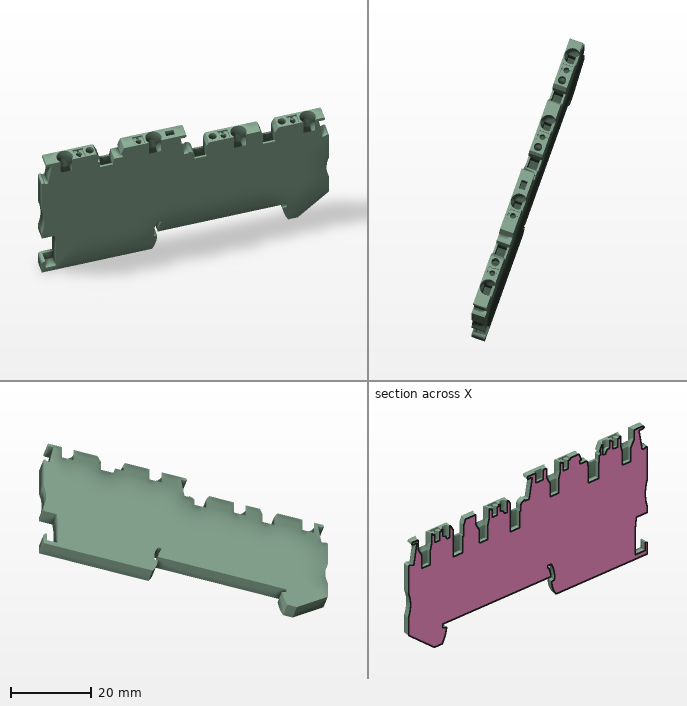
import cadquery as cq
import math

THICKNESS = 3.5
LENGTH = 74.4
HEIGHT = 40.0
Y_BACK = LENGTH / 2
Y_FRONT = -LENGTH / 2
X_MID = THICKNESS / 2

LOW_TOP = 35.3
BACK_EDGE = 36.0
MIDDLE_EDGE = 0.15
FRONT_EDGE = -36.0

SLOT_WIDTH = 3.15
LOW_SLOT_FLOOR = 30.4
HIGH_SLOT_FLOOR = 34.9
BACK_SLOT_Y = 20.05
MIDDLE_SLOT_Y = 2.35
FRONT_SLOT_Y = -22.1
FRONT_SLOT_WIDTH = 3.3
SLOT_WALL = 0.5
BRIDGE_POCKET_DEPTH = 5.0
POCKET_MARGIN = 0.25
CHAMFER_RUN = 0.85
SMALL_CHAMFER_RUN = 0.6
CHAMFER_DROP = 1.65
MIDDLE_CHAMFER_DROP = 1.2
LEDGE_TOP = 36.85
LEDGE_NOTCH_TOP = 37.8
LEDGE_LENGTH = 2.25
LEDGE_SLANT = 0.35
LEDGE_UNDERCUT = 0.5
FRONT_FLARE = 0.95
MIDDLE_FLARE = 0.8

HIGH_SHOULDER = 32.9
SHOULDER_TIP = 33.3
SHOULDER_CORNER = 33.1
BACK_SHOULDER = 28.4
BACK_SHOULDER_TIP = 28.65
SLOT_ROUND_BASE = 31.7

RAIL_SEAT = 6.0
RAIL_LIP = 4.6
RAIL_BACK_Y = 26.35
RAIL_FRONT_Y = -7.2
BACK_HOOK_TIP_Y = 25.2
BACK_HOOK_ROOT_Z = 4.9
BACK_HOOK_FOOT_Y = 26.6
FOOT_CORNER_Y = 29.1
FOOT_CORNER_Z = 7.2
FRONT_HOOK_TIP_Y = -7.3
FRONT_HOOK_FOOT_Y = -8.65
SPRING_SLOT_TOP = 9.8
SPRING_SLOT_BACK_Y = -6.3
SPRING_SLOT_FRONT_Y = -8.15
RECESS_BOTTOM = 4.0
RECESS_TOP = 12.75
RECESS_FLOOR_Y = -33.5
RECESS_SLANT_Z = 10.1
RECESS_SLANT = 0.25
LIP_RADIUS = 0.9
LIP_POCKET_WALL = 0.75
LIP_POCKET_DEPTH = 2.5
FINGER_DIP = 0.65
FRONT_DIP_Z = 18.8
FRONT_DIP_HALF = 4.4
BACK_DIP_Z = 16.4
BACK_DIP_HALF = 3.7

FUNNEL_RADIUS = 2.03
FUNNEL_X = 2.15
FUNNEL_DEPTH = 5.2
BORE_DEPTH = 3.0
THROAT_WIDTH = 2.0
THROAT_LENGTH = 2.45
THROAT_OFFSET = 0.3
THROAT_DEPTH = 4.0

SOCKET_PITCH = 3.8
SOCKET_SIZE = 2.65
SOCKET_X = 1.9
SOCKET_DEPTH = 0.5
SOCKET_HOLE_DIAMETER = 1.45
SOCKET_HOLE_DEPTH = 3.0
SOCKET_GROOVE_WIDTH = 0.55
SOCKET_GROOVE_DEPTH = 1.0

RELEASE_PITCH = 6.6
RELEASE_RADIUS = 1.03
RELEASE_COLLAR_RADIUS = 1.62
RELEASE_DEPTH = 3.5
STEP_RADIUS = 1.25

WINDOW_PITCH = 4.35
WINDOW_WIDTH = 1.55
WINDOW_LENGTH = 2.25
WINDOW_DEPTH = 3.0

CLAMPS = [
    (32.05, LOW_TOP, -1, True),
    (14.15, LOW_TOP, -1, True),
    (-7.9, HEIGHT, -1, False),
    (-30.9, HEIGHT, 1, True),
]
WINDOW_Y = CLAMPS[2][0] + WINDOW_PITCH


def latch_edge(y_edge, z_top, outward):
    """Hooked lip and slanted neck at a block end, from the top edge downwards."""
    offsets = [(0, 0), (0.2, -0.65), (-0.25, -1.0), (-1.4, -0.95), (-0.45, -7.1)]
    return [(y_edge + outward * dy, z_top + dz) for dy, dz in offsets]


def body():
    """Side outline extruded through the full thickness."""
    back_slot_end = BACK_SLOT_Y + SLOT_WIDTH
    middle_slot_end = MIDDLE_SLOT_Y + SLOT_WIDTH
    front_slot_end = FRONT_SLOT_Y + FRONT_SLOT_WIDTH
    ledge_start = front_slot_end + LEDGE_SLANT
    ledge_end = ledge_start + LEDGE_LENGTH
    lip_back = Y_FRONT + LIP_RADIUS
    lip_sag = LIP_RADIUS * (1 - math.sqrt(0.5))

    front_top = [
        (Y_FRONT, SHOULDER_CORNER),
        (FRONT_EDGE - 0.65, SHOULDER_TIP),
        (FRONT_EDGE - 0.3, HIGH_SHOULDER),
        *reversed(latch_edge(FRONT_EDGE, HEIGHT, -1)),
        (FRONT_SLOT_Y - FRONT_FLARE, HEIGHT),
        (FRONT_SLOT_Y, LEDGE_NOTCH_TOP),
        (FRONT_SLOT_Y - LEDGE_UNDERCUT, LEDGE_NOTCH_TOP),
        (FRONT_SLOT_Y - LEDGE_UNDERCUT, LEDGE_TOP),
        (FRONT_SLOT_Y, LEDGE_TOP),
        (FRONT_SLOT_Y, HIGH_SLOT_FLOOR),
        (front_slot_end, HIGH_SLOT_FLOOR),
        (ledge_start, LEDGE_TOP),
        (ledge_end, LEDGE_TOP),
        (ledge_end, LEDGE_NOTCH_TOP),
        (ledge_end - LEDGE_UNDERCUT, LEDGE_NOTCH_TOP),
        (ledge_end - LEDGE_UNDERCUT + MIDDLE_FLARE, HEIGHT),
        *latch_edge(MIDDLE_EDGE, HEIGHT, 1),
        (MIDDLE_EDGE + 0.6, HIGH_SHOULDER),
        (MIDDLE_EDGE + 0.8, SHOULDER_TIP),
        (MIDDLE_EDGE + 1.25, SHOULDER_CORNER),
    ]
    back_top = [
        (MIDDLE_SLOT_Y, LOW_SLOT_FLOOR),
        (middle_slot_end, LOW_SLOT_FLOOR),
        (middle_slot_end, LOW_TOP - MIDDLE_CHAMFER_DROP),
        (middle_slot_end + SMALL_CHAMFER_RUN, LOW_TOP),
        (BACK_SLOT_Y - SMALL_CHAMFER_RUN, LOW_TOP),
        (BACK_SLOT_Y, LOW_TOP - CHAMFER_DROP),
        (BACK_SLOT_Y, LOW_SLOT_FLOOR),
        (back_slot_end, LOW_SLOT_FLOOR),
        (back_slot_end, LOW_TOP - CHAMFER_DROP),
        (back_slot_end + CHAMFER_RUN, LOW_TOP),
        *latch_edge(BACK_EDGE, LOW_TOP, 1),
        (Y_BACK - 0.5, BACK_SHOULDER_TIP),
        (Y_BACK, BACK_SHOULDER),
        (Y_BACK, BACK_DIP_Z + BACK_DIP_HALF),
    ]
    outline = (
        cq.Workplane("YZ")
        .moveTo(Y_BACK, FOOT_CORNER_Z)
        .lineTo(FOOT_CORNER_Y, 0)
        .lineTo(BACK_HOOK_FOOT_Y, 0)
        .threePointArc((BACK_HOOK_FOOT_Y - 0.95, RAIL_LIP / 2), (BACK_HOOK_TIP_Y, RAIL_LIP))
        .lineTo(RAIL_BACK_Y, BACK_HOOK_ROOT_Z)
        .lineTo(RAIL_BACK_Y, RAIL_SEAT)
        .lineTo(RAIL_FRONT_Y, RAIL_SEAT)
        .threePointArc((RAIL_FRONT_Y + 0.25, RAIL_SEAT + 1.7), (SPRING_SLOT_BACK_Y, SPRING_SLOT_TOP - 0.6))
        .lineTo(SPRING_SLOT_BACK_Y, SPRING_SLOT_TOP)
        .lineTo(RAIL_FRONT_Y, SPRING_SLOT_TOP)
        .threePointArc((SPRING_SLOT_FRONT_Y + 0.15, RAIL_LIP + 3), (SPRING_SLOT_FRONT_Y, RAIL_LIP))
        .lineTo(FRONT_HOOK_TIP_Y, RAIL_LIP)
        .threePointArc((FRONT_HOOK_TIP_Y - 0.35, RAIL_LIP / 2), (FRONT_HOOK_FOOT_Y, 0))
        .lineTo(Y_FRONT, 0)
        .lineTo(Y_FRONT, RECESS_BOTTOM - LIP_RADIUS)
        .threePointArc((Y_FRONT + lip_sag, RECESS_BOTTOM - lip_sag), (lip_back, RECESS_BOTTOM))
        .lineTo(RECESS_FLOOR_Y, RECESS_BOTTOM)
        .lineTo(RECESS_FLOOR_Y, RECESS_SLANT_Z)
        .lineTo(RECESS_FLOOR_Y - RECESS_SLANT, RECESS_TOP)
        .lineTo(Y_FRONT, RECESS_TOP)
        .lineTo(Y_FRONT, FRONT_DIP_Z - FRONT_DIP_HALF)
        .threePointArc(
            (Y_FRONT + FINGER_DIP, FRONT_DIP_Z),
            (Y_FRONT, FRONT_DIP_Z + FRONT_DIP_HALF),
        )
    )
    for point in front_top:
        outline = outline.lineTo(*point)
    outline = outline.threePointArc(
        (MIDDLE_SLOT_Y - 0.3, SLOT_ROUND_BASE + 1),
        (MIDDLE_SLOT_Y, SLOT_ROUND_BASE),
    )
    for point in back_top:
        outline = outline.lineTo(*point)
    outline = outline.threePointArc(
        (Y_BACK - FINGER_DIP, BACK_DIP_Z),
        (Y_BACK, BACK_DIP_Z - BACK_DIP_HALF),
    )
    return outline.close().extrude(THICKNESS)


def box_pocket(x, y, z_top, width, length, depth):
    """Rectangular cutter centred on (x, y), hanging down from z_top."""
    return cq.Workplane("XY", origin=(x, y, z_top)).rect(width, length).extrude(-depth)


def round_pocket(x, y, z_top, radius, depth):
    """Cylindrical cutter hanging down from z_top."""
    return cq.Workplane("XY", origin=(x, y, z_top)).circle(radius).extrude(-depth)


def bridge_pocket(y_start, slot_width, z_floor):
    """Deep pocket in the floor of a bridge slot, leaving a thin wall on each side."""
    width = THICKNESS - 2 * SLOT_WALL
    length = slot_width - POCKET_MARGIN
    y_centre = y_start + POCKET_MARGIN + length / 2
    return box_pocket(X_MID, y_centre, z_floor, width, length, BRIDGE_POCKET_DEPTH)


def lip_pocket():
    """Pocket sunk behind the recess lip, open towards the +X face."""
    length = RECESS_FLOOR_Y - Y_FRONT - LIP_RADIUS
    width = THICKNESS - LIP_POCKET_WALL
    x_centre = LIP_POCKET_WALL + width / 2
    y_centre = RECESS_FLOOR_Y - length / 2
    return box_pocket(x_centre, y_centre, RECESS_BOTTOM, width, length, LIP_POCKET_DEPTH)


def wire_funnel(y, z_top, direction):
    """Round bore with four slopes down to a rectangular throat; it breaks out at the +X face."""
    throat_y = y + direction * THROAT_OFFSET
    bore = round_pocket(FUNNEL_X, y, z_top, FUNNEL_RADIUS, FUNNEL_DEPTH)
    mouth = box_pocket(FUNNEL_X, y, z_top, 2 * FUNNEL_RADIUS, 2 * FUNNEL_RADIUS, BORE_DEPTH)
    taper = (
        cq.Workplane("XY", origin=(FUNNEL_X, y, z_top - BORE_DEPTH))
        .rect(2 * FUNNEL_RADIUS, 2 * FUNNEL_RADIUS)
        .workplane(offset=BORE_DEPTH - FUNNEL_DEPTH)
        .center(X_MID - FUNNEL_X, throat_y - y)
        .rect(THROAT_WIDTH, THROAT_LENGTH)
        .loft(ruled=True)
    )
    throat_top = z_top - FUNNEL_DEPTH
    throat = box_pocket(X_MID, throat_y, throat_top, THROAT_WIDTH, THROAT_LENGTH, THROAT_DEPTH)
    return mouth.union(taper).intersect(bore).union(throat)


def test_socket(y, z_top):
    """Shallow square recess with a round hole and a groove across it."""
    recess = box_pocket(SOCKET_X, y, z_top, SOCKET_SIZE, SOCKET_SIZE, SOCKET_DEPTH)
    groove = box_pocket(SOCKET_X, y, z_top, SOCKET_SIZE, SOCKET_GROOVE_WIDTH, SOCKET_GROOVE_DEPTH)
    hole = round_pocket(SOCKET_X, y, z_top, SOCKET_HOLE_DIAMETER / 2, SOCKET_HOLE_DEPTH)
    return recess.union(groove).union(hole)


def release_hole(y, z_top, direction):
    """Blind hole whose half nearest the socket keeps a rounded step on its floor."""
    hole = round_pocket(X_MID, y, z_top, RELEASE_RADIUS, RELEASE_DEPTH)
    floor = z_top - RELEASE_DEPTH
    step_top = floor + STEP_RADIUS
    step_bottom = floor - STEP_RADIUS
    rim_y = y - direction * RELEASE_RADIUS
    tip_y = rim_y + direction * STEP_RADIUS
    outer_y = rim_y - direction * RELEASE_RADIUS
    arc_reach = STEP_RADIUS * math.sqrt(0.5)
    step = (
        cq.Workplane("YZ")
        .moveTo(outer_y, step_top)
        .lineTo(rim_y, step_top)
        .threePointArc((rim_y + direction * arc_reach, floor + arc_reach), (tip_y, floor))
        .lineTo(tip_y, step_bottom)
        .lineTo(outer_y, step_bottom)
        .close()
        .extrude(THICKNESS)
    )
    return hole.cut(step)


def clamp_cutter(y, z_top, direction, has_release):
    """All openings of one clamping point."""
    socket = test_socket(y + direction * SOCKET_PITCH, z_top)
    cutter = wire_funnel(y, z_top, direction)
    if has_release:
        release_y = y + direction * RELEASE_PITCH
        collar = round_pocket(X_MID, release_y, z_top, RELEASE_COLLAR_RADIUS, RELEASE_DEPTH)
        socket = socket.cut(collar)
        cutter = cutter.union(release_hole(release_y, z_top, direction))
    return cutter.union(socket)


result = body()
for clamp in CLAMPS:
    result = result.cut(clamp_cutter(*clamp))
result = result.cut(bridge_pocket(BACK_SLOT_Y, SLOT_WIDTH, LOW_SLOT_FLOOR))
result = result.cut(bridge_pocket(MIDDLE_SLOT_Y, SLOT_WIDTH, LOW_SLOT_FLOOR))
result = result.cut(bridge_pocket(FRONT_SLOT_Y, FRONT_SLOT_WIDTH, HIGH_SLOT_FLOOR))
result = result.cut(box_pocket(X_MID, WINDOW_Y, HEIGHT, WINDOW_WIDTH, WINDOW_LENGTH, WINDOW_DEPTH))
result = result.cut(lip_pocket())